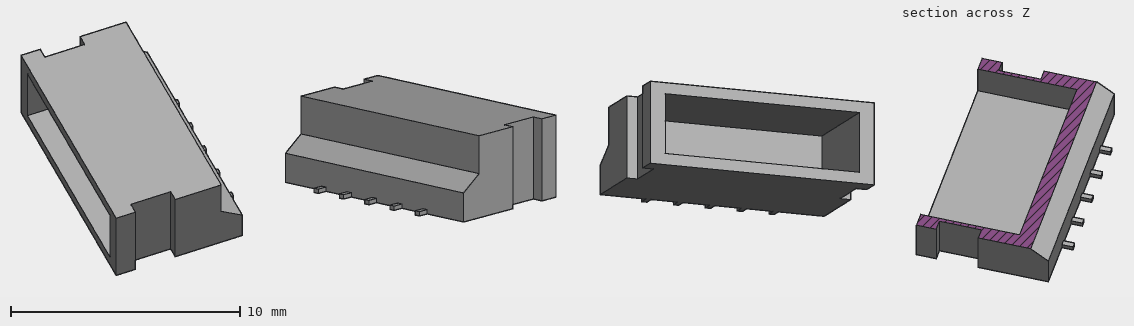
import cadquery as cq

width = 10.5
height = 3.7
total_depth = 6.5
pin_length = 0.5
body_depth = total_depth - pin_length

step_depth = 1.01
step_low = 1.31
step_high = 2.0

side_wall = 0.7
floor_wall = 0.5
rear_wall = 0.5
cavity_depth = body_depth - step_depth - rear_wall

notch_depth = 0.5
notch_start = 0.91
notch_length = 1.89

pin_count = 5
pin_pitch = 1.49
pin_width = 0.25
pin_height = 0.2
pin_embed = 0.1


def block(size_x, size_y, size_z, center_x, start_y, start_z):
    """Box centred in X that starts at the given Y and Z."""
    box = cq.Workplane("XY").box(size_x, size_y, size_z, centered=(True, False, False))
    return box.translate((center_x, start_y, start_z))


def make_housing():
    """Side profile with the rear step, extruded across the width."""
    step_y = body_depth - step_depth
    profile = [
        (0, 0),
        (body_depth, 0),
        (body_depth, step_low),
        (step_y, step_high),
        (step_y, height),
        (0, height),
    ]
    return cq.Workplane("YZ").polyline(profile).close().extrude(width / 2, both=True)


def make_cavity():
    cavity_width = width - 2 * side_wall
    cavity_height = height - 2 * floor_wall
    return block(cavity_width, cavity_depth, cavity_height, 0, 0, floor_wall)


def make_notch(side):
    """Notch cutter on the -X side (side = -1) or the +X side (side = 1)."""
    center_x = side * (width - notch_depth) / 2
    return block(notch_depth, notch_length, height, center_x, notch_start, 0)


def make_pin(index):
    center_x = (index - (pin_count - 1) / 2) * pin_pitch
    return block(pin_width, pin_length + pin_embed, pin_height, center_x, body_depth - pin_embed, 0)


result = make_housing().cut(make_cavity())
for side in (-1, 1):
    result = result.cut(make_notch(side))
for index in range(pin_count):
    result = result.union(make_pin(index))